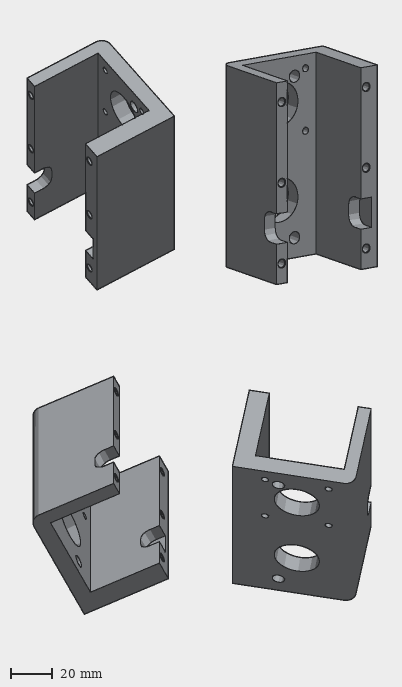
import cadquery as cq

width = 59.5
depth = 45.0
height = 100.0

left_wall = 6.4
right_wall = 9.8
back_wall = 8.1
corner_radius = 5.0
inner_width = width - left_wall - right_wall

bore_diameter = 22.0
bore_x = 28.0
upper_bore_z = 77.5
lower_bore_z = 30.0
bolt_diameter = 3.4
bolt_spacing = 31.0
side_hole_diameter = 6.0
side_hole_x = 37.0
side_hole_heights = (10.0, 90.0)

screw_diameter = 3.9
screw_depth = 10.0
screw_chamfer = 0.3
screw_inset = 3.1
right_screw_inset = 6.6
screw_heights = (10.0, 50.0, 90.0)
screw_x_places = (screw_inset, width - right_screw_inset)

notch_bottom = 20.0
notch_height = 15.0
notch_depth = 10.0
notch_radius = 5.0
notch_skin = 3.4


def make_channel():
    """U-shaped channel, open to the front, with one rounded rear corner."""
    block = cq.Workplane("XY").box(width, depth, height, centered=False)
    block = block.edges("|Z and <X and >Y").fillet(corner_radius)
    cavity = cq.Workplane("XY").box(inner_width, depth - back_wall, height, centered=False)
    return block.cut(cavity.translate((left_wall, 0, 0)))


def back_hole(x, z, diameter):
    """Cylinder through the back wall, along Y."""
    axis = cq.Vector(0, 1, 0)
    start = cq.Vector(x, depth - back_wall, z)
    return cq.Workplane(cq.Solid.makeCylinder(diameter / 2, back_wall, start, axis))


def screw_hole(x, z):
    """Blind hole with a small chamfer at its mouth, starting at the front edge."""
    axis = cq.Vector(0, 1, 0)
    start = cq.Vector(x, 0, z)
    radius = screw_diameter / 2
    hole = cq.Solid.makeCylinder(radius, screw_depth, start, axis)
    mouth = cq.Solid.makeCone(radius + screw_chamfer, radius, screw_chamfer, start, axis)
    return cq.Workplane(hole).union(cq.Workplane(mouth))


def make_notch():
    """Notch with rounded inner corners, leaving a thin skin on the right side."""
    notch = cq.Workplane("XY").box(width - notch_skin, notch_depth, notch_height, centered=False)
    notch = notch.edges("|X and >Y").fillet(notch_radius)
    return notch.translate((0, 0, notch_bottom))


result = make_channel().cut(make_notch())

for bore_z in (upper_bore_z, lower_bore_z):
    result = result.cut(back_hole(bore_x, bore_z, bore_diameter))

for x_side in (-1, 1):
    for z_side in (-1, 1):
        bolt_x = bore_x + x_side * bolt_spacing / 2
        bolt_z = upper_bore_z + z_side * bolt_spacing / 2
        result = result.cut(back_hole(bolt_x, bolt_z, bolt_diameter))

for hole_z in side_hole_heights:
    result = result.cut(back_hole(side_hole_x, hole_z, side_hole_diameter))

for screw_x in screw_x_places:
    for screw_z in screw_heights:
        result = result.cut(screw_hole(screw_x, screw_z))